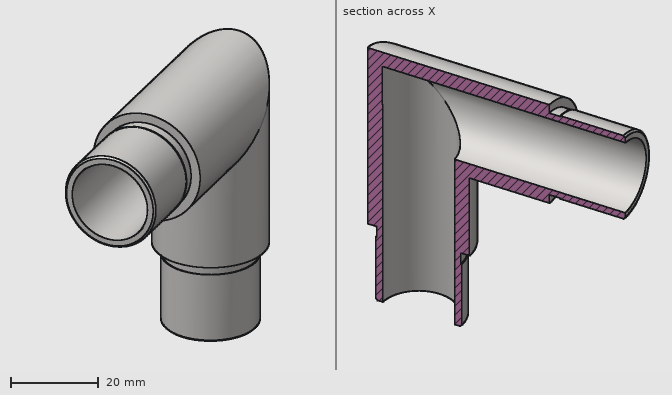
import cadquery as cq

overall_length = 68.0
tube_diameter = 26.9
spigot_diameter = 22.8
neck_diameter = 22.4
bore_diameter = 19.0
spigot_length = 20.0
neck_length = 2.85
end_chamfer = 0.5

leg_reach = overall_length - tube_diameter / 2
shoulder_reach = leg_reach - spigot_length
neck_end_reach = shoulder_reach + neck_length


def mitred_pipe(diameter, reach):
    """Solid L-shaped round bar with a sharp 45 degree mitre at the corner."""
    path = cq.Workplane("YZ").moveTo(-reach, 0).lineTo(0, 0).lineTo(0, -reach)
    profile = cq.Workplane("XZ", origin=(0, -reach, 0)).circle(diameter / 2)
    return profile.sweep(path, transition="right")


def spigot(leg_plane):
    """Relief neck and chamfered spigot, built outward along the plane normal."""
    neck = (
        cq.Workplane(leg_plane)
        .workplane(offset=shoulder_reach)
        .circle(neck_diameter / 2)
        .extrude(neck_length)
    )
    plug = (
        cq.Workplane(leg_plane)
        .workplane(offset=neck_end_reach)
        .circle(spigot_diameter / 2)
        .extrude(leg_reach - neck_end_reach)
        .faces(cq.selectors.DirectionMinMaxSelector(leg_plane.zDir, True))
        .chamfer(end_chamfer)
    )
    return neck.union(plug)


toward_minus_y = cq.Plane(origin=(0, 0, 0), xDir=(1, 0, 0), normal=(0, -1, 0))
toward_minus_z = cq.Plane(origin=(0, 0, 0), xDir=(1, 0, 0), normal=(0, 0, -1))

elbow = mitred_pipe(tube_diameter, shoulder_reach)
for leg_plane in (toward_minus_y, toward_minus_z):
    elbow = elbow.union(spigot(leg_plane))

result = elbow.cut(mitred_pipe(bore_diameter, leg_reach))